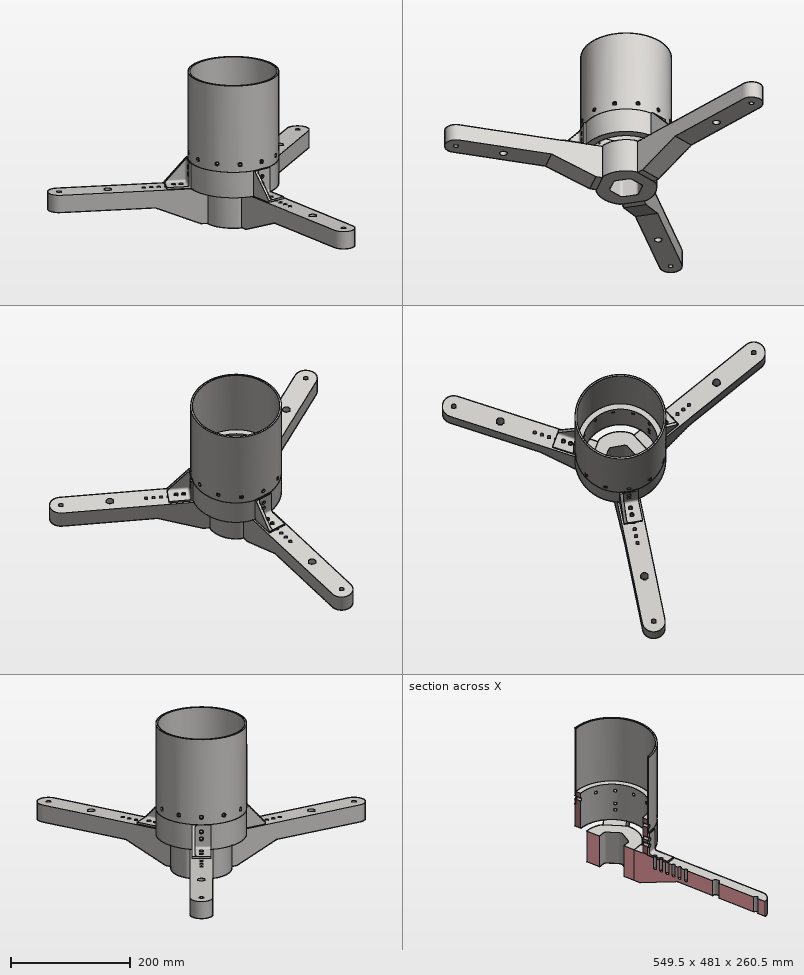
import cadquery as cq
import math

ARM_ANGLES = (90, 210, 330)
ARM_WIDTH = 38.5
ARM_THICKNESS = 31.0
ARM_TIP_HOLE_RADIUS = 295.0
ARM_TIP_HOLE_DIAMETER = 7.5
ARM_MID_HOLE_RADIUS = 212.5
ARM_MID_HOLE_DIAMETER = 12.5
TAPER_OUTER_RADIUS = 134.5
TAPER_INNER_RADIUS = 57.5

HUB_DIAMETER = 103.0
HUB_HEIGHT = 62.5
HUB_FLAT_DISTANCE = 46.0
HUB_FLAT_FILLET = 12.0
HEX_ACROSS_FLATS = 50.0
HEX_CORNER_DIAMETER = 14.0

TUBE_OUTER_DIAMETER = 152.0
TUBE_INNER_DIAMETER = 146.0
TUBE_LENGTH = 153.0
COLLAR_BORE_DIAMETER = 127.0
COLLAR_FLANGE_HEIGHT = 45.0
TUBE_SCREW_COUNT = 12
TUBE_SCREW_DIAMETER = 6.5
PLUG_SCREW_DIAMETER = 5.1
TUBE_SCREW_OFFSET = 13.0
PLUG_LENGTH = 2 * TUBE_SCREW_OFFSET

BRACKET_WIDTH = 32.0
BRACKET_REACH = 40.5
BRACKET_PLATE = 3.5
BRACKET_BACK_RADIUS = 74.0
RIB_THICKNESS = 5.2
RIB_FILLET = 4.0
BRACKET_HOLE_DIAMETER = 6.5

SCREW_PITCH = 12.5
ARM_SCREW_COUNT = 6
ARM_SCREW_DIAMETER = 5.4
ARM_SCREW_DEPTH = 22.0
DRILL_POINT_ANGLE = 118
ARM_SCREW_FIRST_RADIUS = 88.5
BRACKET_SCREW_COUNT = 2
COLLAR_SCREW_DIAMETER = 5.1
COLLAR_SCREW_FIRST_HEIGHT = 20.0

ARM_TOP = HUB_HEIGHT
ARM_BOTTOM = ARM_TOP - ARM_THICKNESS
TUBE_BOTTOM = ARM_TOP + COLLAR_FLANGE_HEIGHT
TUBE_SCREW_LEVEL = TUBE_BOTTOM + TUBE_SCREW_OFFSET

ARM_SCREW_RADII = [ARM_SCREW_FIRST_RADIUS + i * SCREW_PITCH for i in range(ARM_SCREW_COUNT)]
COLLAR_SCREW_LEVELS = [
    ARM_TOP + COLLAR_SCREW_FIRST_HEIGHT + i * SCREW_PITCH for i in range(BRACKET_SCREW_COUNT)
]


def turned_to(body, angle):
    """Turn a body built along +X about the Z axis."""
    return body.rotate((0, 0, 0), (0, 0, 1), angle)


def vertical_holes(radii, diameter):
    """Upright drills along +X, long enough to pass through arm and bracket."""
    return (
        cq.Workplane("XY")
        .pushPoints([(radius, 0) for radius in radii])
        .circle(diameter / 2)
        .extrude(TUBE_BOTTOM)
    )


def drilled_hole(radius):
    """A blind screw hole in the arm top, ending in the cone of the drill point."""
    hole_radius = ARM_SCREW_DIAMETER / 2
    point_length = hole_radius / math.tan(math.radians(DRILL_POINT_ANGLE / 2))
    return (
        cq.Workplane("XZ", origin=(radius, 0, ARM_TOP))
        .polyline([
            (0, 0),
            (hole_radius, 0),
            (hole_radius, -ARM_SCREW_DEPTH),
            (0, -ARM_SCREW_DEPTH - point_length),
        ])
        .close()
        .revolve(360, (0, 0, 0), (0, 1, 0))
    )


def radial_holes(levels, diameter):
    """Drills from the axis outward along +X at the given levels."""
    return (
        cq.Workplane("YZ")
        .pushPoints([(0, level) for level in levels])
        .circle(diameter / 2)
        .extrude(TUBE_OUTER_DIAMETER)
    )


def tube_screw_holes(diameter):
    """The ring of radial drills that pins the tube to the plug inside it."""
    drill = radial_holes([TUBE_SCREW_LEVEL], diameter)
    holes = cq.Workplane("XY")
    for i in range(TUBE_SCREW_COUNT):
        holes = holes.add(turned_to(drill, i * 360 / TUBE_SCREW_COUNT))
    return holes.combine()


def make_hub():
    """Round hub with a hexagonal bore and three flats blended into the rim."""
    hub = cq.Workplane("XY").circle(HUB_DIAMETER / 2).extrude(HUB_HEIGHT)
    beyond_flat = cq.Workplane("XY", origin=(HUB_FLAT_DISTANCE, 0, 0)).box(
        HUB_DIAMETER, HUB_DIAMETER, HUB_HEIGHT, centered=(False, True, False)
    )
    for angle in ARM_ANGLES:
        hub = hub.cut(turned_to(beyond_flat, angle))
    hub = hub.edges("|Z").fillet(HUB_FLAT_FILLET)
    hex_bore = (
        cq.Workplane("XY")
        .polygon(6, HEX_ACROSS_FLATS / math.cos(math.pi / 6))
        .extrude(HUB_HEIGHT)
        .edges("|Z")
        .fillet(HEX_CORNER_DIAMETER / 2)
    )
    return hub.cut(hex_bore)


def make_arm():
    """Tapered arm along +X with a rounded tip."""
    beam = (
        cq.Workplane("XZ")
        .polyline([
            (HUB_FLAT_DISTANCE, 0),
            (TAPER_INNER_RADIUS, 0),
            (TAPER_OUTER_RADIUS, ARM_BOTTOM),
            (ARM_TIP_HOLE_RADIUS, ARM_BOTTOM),
            (ARM_TIP_HOLE_RADIUS, ARM_TOP),
            (HUB_FLAT_DISTANCE, ARM_TOP),
        ])
        .close()
        .extrude(ARM_WIDTH / 2, both=True)
    )
    rounded_tip = (
        cq.Workplane("XY", origin=(ARM_TIP_HOLE_RADIUS, 0, ARM_BOTTOM))
        .circle(ARM_WIDTH / 2)
        .extrude(ARM_THICKNESS)
    )
    arm = beam.union(rounded_tip)
    arm = arm.cut(vertical_holes([ARM_TIP_HOLE_RADIUS], ARM_TIP_HOLE_DIAMETER))
    arm = arm.cut(vertical_holes([ARM_MID_HOLE_RADIUS], ARM_MID_HOLE_DIAMETER))
    for radius in ARM_SCREW_RADII:
        arm = arm.cut(drilled_hole(radius))
    return arm


def make_tube():
    """Thin tube that stands on the collar flange."""
    tube = (
        cq.Workplane("XY", origin=(0, 0, TUBE_BOTTOM))
        .circle(TUBE_OUTER_DIAMETER / 2)
        .circle(TUBE_INNER_DIAMETER / 2)
        .extrude(TUBE_LENGTH)
    )
    return tube.cut(tube_screw_holes(TUBE_SCREW_DIAMETER))


def make_collar():
    """Flange level with the tube outside, with flat bracket seats and a plug inside the tube."""
    flange = (
        cq.Workplane("XY", origin=(0, 0, ARM_TOP))
        .circle(TUBE_OUTER_DIAMETER / 2)
        .extrude(COLLAR_FLANGE_HEIGHT)
    )
    seat = (
        cq.Workplane("XY", origin=(BRACKET_BACK_RADIUS, 0, ARM_TOP))
        .box(BRACKET_REACH, TUBE_OUTER_DIAMETER, COLLAR_FLANGE_HEIGHT, centered=(False, True, False))
    )
    screws = radial_holes(COLLAR_SCREW_LEVELS, COLLAR_SCREW_DIAMETER)
    for angle in ARM_ANGLES:
        flange = flange.cut(turned_to(seat.union(screws), angle))
    plug = (
        cq.Workplane("XY", origin=(0, 0, TUBE_BOTTOM))
        .circle(TUBE_INNER_DIAMETER / 2)
        .extrude(PLUG_LENGTH)
    )
    bore = (
        cq.Workplane("XY", origin=(0, 0, ARM_TOP))
        .circle(COLLAR_BORE_DIAMETER / 2)
        .extrude(COLLAR_FLANGE_HEIGHT + PLUG_LENGTH)
    )
    return flange.union(plug).cut(bore).cut(tube_screw_holes(PLUG_SCREW_DIAMETER))


def make_bracket():
    """Angle bracket along +X: base on the arm, back plate on the collar, rib on one side."""
    half_width = BRACKET_WIDTH / 2
    toe = BRACKET_BACK_RADIUS + BRACKET_REACH
    block = (
        cq.Workplane("XZ")
        .polyline([
            (BRACKET_BACK_RADIUS, ARM_TOP),
            (toe, ARM_TOP),
            (toe, ARM_TOP + BRACKET_PLATE),
            (BRACKET_BACK_RADIUS + BRACKET_PLATE, TUBE_BOTTOM),
            (BRACKET_BACK_RADIUS, TUBE_BOTTOM),
        ])
        .close()
        .extrude(half_width, both=True)
    )
    pocket = (
        cq.Workplane("XY")
        .box(BRACKET_REACH * 2, BRACKET_WIDTH * 2, COLLAR_FLANGE_HEIGHT * 2, centered=False)
        .translate((
            BRACKET_BACK_RADIUS + BRACKET_PLATE,
            RIB_THICKNESS - half_width,
            ARM_TOP + BRACKET_PLATE,
        ))
    )
    pocket = pocket.edges("(<X and <Y) or (<X and <Z) or (<Y and <Z)").fillet(RIB_FILLET)
    bracket = block.cut(pocket)
    base_holes = vertical_holes(ARM_SCREW_RADII[:BRACKET_SCREW_COUNT], BRACKET_HOLE_DIAMETER)
    back_holes = radial_holes(COLLAR_SCREW_LEVELS, BRACKET_HOLE_DIAMETER)
    return bracket.cut(base_holes).cut(back_holes)


hub = make_hub()
tube = make_tube()
collar = make_collar()
arms = [turned_to(make_arm(), angle) for angle in ARM_ANGLES]
brackets = [turned_to(make_bracket(), angle) for angle in ARM_ANGLES]

result = cq.Compound.makeCompound(
    [hub.val(), tube.val(), collar.val()]
    + [arm.val() for arm in arms]
    + [bracket.val() for bracket in brackets]
)